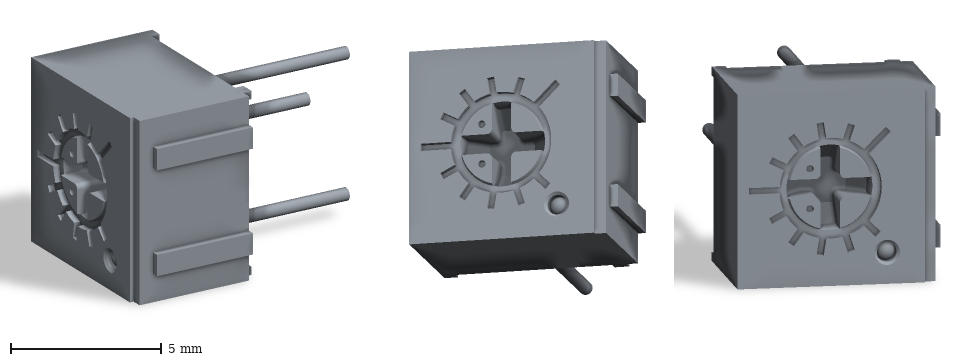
import cadquery as cq


height = 6.6
body_depth = 4.39
left_x = -3.15
body_width = 6.34
right_x = left_x + body_width

cover_thickness = 0.39
cover_setback = 0.14
lug_thickness = 0.26
lug_setback = 0.66
lug_height = 0.76
lug_outer_z = 2.28

foot_length = 0.33
foot_height = 0.3
left_foot_width = 0.46
right_foot_width = 0.51

overall_depth = 10.16
pin_diameter = 0.46
pin_pitch = 2.53
pin_column_x = left_x + 0.91

dial_depth = 0.23
dial_radius = 1.73
mark_width = 0.24
mark_spacing = 27.0
mark_first_angle = 45.0
mark_count = 11
short_mark_radius = 2.28
long_mark_radius = 2.75
long_marks = (0, 5)

rotor_setback = 0.08
rotor_face_radius = 1.4
rotor_base_radius = 1.45
slot_end_radius = 1.38
slot_width = 0.66
slot_depth = 1.51
slot_floor_half = 0.77
slot_corner_radius = 0.17
slot_floor_radius = 0.13
slot_end_depth = slot_depth - (slot_end_radius - slot_floor_half)
dot_radius = 0.127
dot_offset = 0.68
dot_depth = 0.2

dimple_x = 1.91
dimple_z = -2.24
dimple_radius = 0.34
dimple_depth = 0.45
dimple_chamfer = 0.09


def block(x0, x1, y0, y1, z0, z1):
    """Box between two opposite corners."""
    return cq.Workplane("XY").box(x1 - x0, y1 - y0, z1 - z0, centered=False).translate((x0, y0, z0))


def rod(radius, x, z, y0, y1):
    """Cylinder along Y."""
    return cq.Workplane("XZ", origin=(x, y0, z)).circle(radius).extrude(y0 - y1)


def taper(radius0, radius1, x, z, y0, y1):
    """Cone frustum along Y."""
    start = cq.Vector(x, y0, z)
    return cq.Workplane(cq.Solid.makeCone(radius0, radius1, y1 - y0, start, cq.Vector(0, 1, 0)))


def housing():
    top = height / 2
    cover_x = right_x + cover_thickness
    shell = block(left_x, right_x, 0, body_depth, -top, top)
    shell = shell.union(block(right_x, cover_x, cover_setback, body_depth, -top, top))
    back = body_depth + foot_length
    for z0 in (-lug_outer_z, lug_outer_z - lug_height):
        lug = block(cover_x, cover_x + lug_thickness, lug_setback, body_depth, z0, z0 + lug_height)
        shell = shell.union(lug)
    for z0 in (-top, top - foot_height):
        z1 = z0 + foot_height
        shell = shell.union(block(left_x, left_x + left_foot_width, body_depth, back, z0, z1))
        shell = shell.union(block(right_x - right_foot_width, right_x, body_depth, back, z0, z1))
    return shell


def pins():
    """Middle pin in the left column, outer pins one pitch to the right of it."""
    outer_x = pin_column_x + pin_pitch
    places = ((pin_column_x, 0), (outer_x, pin_pitch), (outer_x, -pin_pitch))
    wires = cq.Workplane("XY")
    for x, z in places:
        wires = wires.union(rod(pin_diameter / 2, x, z, body_depth, overall_depth))
    return wires


def dial():
    recess = rod(dial_radius, 0, 0, 0, dial_depth)
    for i in range(mark_count):
        angle = mark_first_angle + i * mark_spacing
        reach = long_mark_radius if i in long_marks else short_mark_radius
        mark = block(0, reach, 0, dial_depth, -mark_width / 2, mark_width / 2)
        recess = recess.union(mark.rotate((0, 0, 0), (0, -1, 0), angle))
    return recess.cut(taper(rotor_face_radius, rotor_base_radius, 0, 0, rotor_setback, dial_depth))


def is_floor_side(middle, end_depth):
    """True for the middle of an edge between the slot floor and a side wall."""
    clear_of_bends = min(abs(middle.x), abs(middle.z)) > slot_width / 4
    return clear_of_bends and middle.y > end_depth


def cross_slot():
    """Cross with a flat middle; the floor of each arm rises outward at 45 degrees."""
    arm_length = rotor_base_radius
    end_depth = slot_depth - (arm_length - slot_floor_half)
    arm = (
        cq.Workplane("XY")
        .moveTo(-arm_length, 0)
        .lineTo(arm_length, 0)
        .lineTo(arm_length, end_depth)
        .lineTo(slot_floor_half, slot_depth)
        .lineTo(-slot_floor_half, slot_depth)
        .lineTo(-arm_length, end_depth)
        .close()
        .extrude(slot_width / 2, both=True)
    )
    cross = arm.union(arm.rotate((0, 0, 0), (0, 1, 0), 90))
    inner_corners = cq.selectors.BoxSelector(
        (-slot_width, 0, -slot_width), (slot_width, slot_depth, slot_width)
    )
    cross = cross.edges("|Y").edges(inner_corners).fillet(slot_corner_radius)
    floor_edges = [edge for edge in cross.edges().vals() if is_floor_side(edge.Center(), end_depth)]
    cross = cross.newObject(floor_edges).fillet(slot_floor_radius)
    envelope = rod(rotor_base_radius, 0, 0, 0, dial_depth)
    envelope = envelope.union(
        taper(rotor_base_radius, slot_end_radius, 0, 0, dial_depth, slot_end_depth)
    )
    envelope = envelope.union(rod(slot_end_radius, 0, 0, slot_end_depth, slot_depth))
    return cross.intersect(envelope)


def dimple():
    hole = rod(dimple_radius, dimple_x, dimple_z, 0, dimple_depth)
    dome = cq.Workplane("XY").sphere(dimple_radius).translate((dimple_x, dimple_depth, dimple_z))
    rim_radius = dimple_radius + dimple_chamfer
    countersink = taper(rim_radius, dimple_radius, dimple_x, dimple_z, 0, dimple_chamfer)
    return hole.union(countersink).cut(dome)


def index_dots():
    """Two blind dots in the rotor face, mirrored about the horizontal slot."""
    bottom = rotor_setback + dot_depth
    lower = rod(dot_radius, -dot_offset, -dot_offset, rotor_setback, bottom)
    return lower.union(rod(dot_radius, -dot_offset, dot_offset, rotor_setback, bottom))


result = housing().union(pins())
for recess in (dial(), cross_slot(), index_dots(), dimple()):
    result = result.cut(recess)